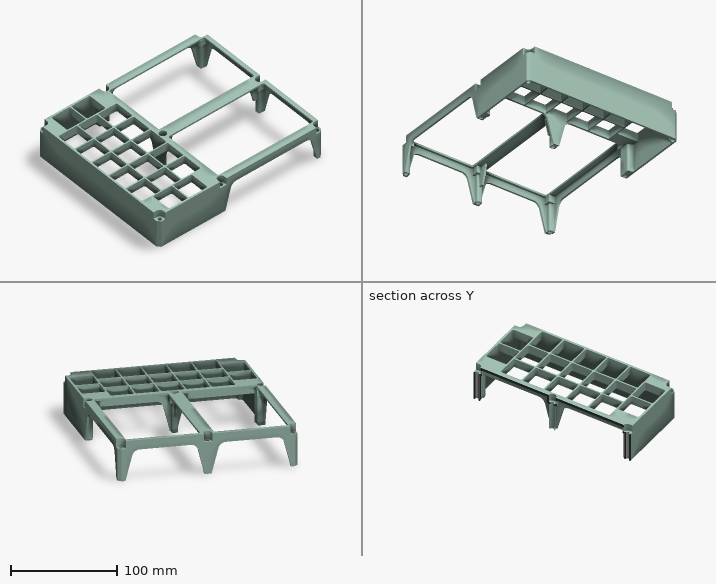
import cadquery as cq
import math

WIDTH = 175.2
LENGTH = 203.2
HEIGHT = 39.8
CORNER_CHAMFER = 3.3

PLATE = 2.0
WALL = 2.0
GRID_DEPTH = 9.5

WINDOW_WIDTH = 72.3
WINDOW_LENGTH = 117.9
WINDOW_X = 42.9
WINDOW_Y = 38.0
WINDOW_RADIUS = 1.5

KEY_SIZE = 23.2
KEY_PITCH = 24.5
KEY_RADIUS = 1.5
KEY_COLUMNS = 5
KEY_ROWS = 3
SIDE_KEY_ROWS = 2
KEYPAD_Y = -63.2

SCREW_X = 84.1
SCREW_Y = 97.3
MIDDLE_SCREW_Y = -21.7
SCREW_HOLE = 4.0
HEAD_DIAMETER = 8.1
HEAD_DEPTH = 8.0
POST_SIZE = 6.0
POST_RADIUS = 2.0
POST_ROOT_RADIUS = 2.2
SIDE_POST_FRONT = -31.7
SIDE_POST_WIDTH = 8.5
PAD_SIZE = 10.5
PAD_ROOT_RADIUS = 1.2

ARCH_ANGLE = 15.0
ARCH_RADIUS = 7.5
SIDE_ARCH_START = -19.0
SIDE_ARCH_END = 94.5
MIDDLE_LEG_WIDTH = 6.5
CORNER_LEG_WIDTH = 7.0
RIB_NOTCH_HEIGHT = 16.9

PLATE_UNDERSIDE = HEIGHT - PLATE
GRID_UNDERSIDE = HEIGHT - GRID_DEPTH
HEAD_SEAT = HEIGHT - HEAD_DEPTH
INNER_X = WIDTH / 2 - WALL
INNER_Y = LENGTH / 2 - WALL
KEYPAD_END = KEYPAD_Y + (KEY_ROWS - 1) / 2 * KEY_PITCH + KEY_SIZE / 2
GRID_END = KEYPAD_END + WALL
SCREWS = [(x, y) for x in (-SCREW_X, 0, SCREW_X) for y in (MIDDLE_SCREW_Y, SCREW_Y)]
SCREWS += [(-SCREW_X, -SCREW_Y), (SCREW_X, -SCREW_Y)]


def block(x_span, y_span, z_span):
    """Box between two coordinates, given in either order, on each axis."""
    low, high = zip(*(sorted(span) for span in (x_span, y_span, z_span)))
    size = [b - a for a, b in zip(low, high)]
    return cq.Workplane("XY").box(*size, centered=False).translate(low)


def rounded_openings(centers, width, length, radius, bottom):
    """Rounded rectangular cutters from a level up to the top face."""
    cutters = cq.Workplane("XY").workplane(offset=bottom).pushPoints(centers)
    return cutters.rect(width, length).extrude(HEIGHT - bottom).edges("|Z").fillet(radius)


def screw_squares(size, z_span):
    """Square columns centred on every screw."""
    columns = cq.Workplane("XY").workplane(offset=z_span[0]).pushPoints(SCREWS)
    return columns.rect(size, size).extrude(z_span[1] - z_span[0])


def screw_cylinders(diameter, bottom):
    """Round cutters on every screw, from a level up to the top face."""
    cutters = cq.Workplane("XY").workplane(offset=bottom).pushPoints(SCREWS)
    return cutters.circle(diameter / 2).extrude(HEIGHT - bottom)


def arch(plane, start, end, height, length):
    """Tapered tunnel, widest at the bottom, reaching both ways from the plane."""
    inset = height * math.tan(math.radians(ARCH_ANGLE))
    outline = [(start, 0), (start + inset, height), (end - inset, height), (end, 0)]
    return cq.Workplane(plane).polyline(outline).close().extrude(length, both=True)


def on_outer_wall(edge):
    """True where an upright edge lies on the inner face of an outer wall."""
    center = edge.Center()
    return math.isclose(abs(center.x), INNER_X) or math.isclose(abs(center.y), INNER_Y)


def cavity(start_y, z_span, columns, root_radius):
    """Space inside the walls, leaving the screw columns and the centre rib."""
    space = block((-INNER_X, INNER_X), (start_y, INNER_Y), z_span).cut(columns)
    space = space.cut(block((-WALL / 2, WALL / 2), (KEYPAD_END, INNER_Y), z_span))
    space = space.cut(block((-WINDOW_X, WINDOW_X), (KEYPAD_END, GRID_END), z_span))
    return space.edges("|Z").filter(on_outer_wall).fillet(root_radius)


envelope = cq.Workplane("XY").rect(WIDTH, LENGTH).extrude(HEIGHT)
envelope = envelope.edges("|Z").chamfer(CORNER_CHAMFER)
lower_span = (0, GRID_UNDERSIDE)
upper_span = (GRID_UNDERSIDE, PLATE_UNDERSIDE)
posts = screw_squares(POST_SIZE, lower_span).edges("|Z").fillet(POST_RADIUS)
side_post = block(
    (SCREW_X - SIDE_POST_WIDTH / 2, WIDTH),
    (SIDE_POST_FRONT, MIDDLE_SCREW_Y + POST_SIZE / 2),
    lower_span,
)
side_post = side_post.edges("|Z").fillet(POST_RADIUS)
posts = posts.union(side_post).union(side_post.mirror("YZ"))
pads = screw_squares(PAD_SIZE, upper_span)
body = envelope.cut(cavity(-INNER_Y, lower_span, posts, POST_ROOT_RADIUS))
body = body.cut(cavity(GRID_END, upper_span, pads, PAD_ROOT_RADIUS))

side_arch = arch("YZ", SIDE_ARCH_START, SIDE_ARCH_END, GRID_UNDERSIDE, WIDTH)
body = body.cut(side_arch.edges("|X and >Z").fillet(ARCH_RADIUS))

back_arch = arch("XZ", MIDDLE_LEG_WIDTH / 2, WIDTH / 2 - CORNER_LEG_WIDTH, GRID_UNDERSIDE, LENGTH)
back_arch = back_arch.edges("|Y and >Z").fillet(ARCH_RADIUS)
back_arch = back_arch.intersect(block((0, WIDTH), (KEYPAD_END, LENGTH), (0, HEIGHT)))
body = body.cut(back_arch).cut(back_arch.mirror("YZ"))

rib_arch = arch("YZ", SIDE_ARCH_START, SIDE_ARCH_END, PLATE_UNDERSIDE, WALL / 2)
rib_notch = block((-WALL / 2, WALL / 2), (SIDE_ARCH_START, SIDE_ARCH_END), (0, RIB_NOTCH_HEIGHT))
body = body.cut(rib_arch).cut(rib_notch)

windows = [(-WINDOW_X, WINDOW_Y), (WINDOW_X, WINDOW_Y)]
body = body.cut(rounded_openings(windows, WINDOW_WIDTH, WINDOW_LENGTH, WINDOW_RADIUS, PLATE_UNDERSIDE))

column_offsets = [column - (KEY_COLUMNS - 1) / 2 for column in range(KEY_COLUMNS)]
row_offsets = [row - (KEY_ROWS - 1) / 2 for row in range(KEY_ROWS)]
side_row_offsets = [row - (SIDE_KEY_ROWS - 1) / 2 for row in range(SIDE_KEY_ROWS)]
side_column_offset = (KEY_COLUMNS + 1) / 2
key_offsets = [(column, row) for column in column_offsets for row in row_offsets]
key_offsets += [(side * side_column_offset, row) for side in (-1, 1) for row in side_row_offsets]
keys = [(column * KEY_PITCH, KEYPAD_Y + row * KEY_PITCH) for column, row in key_offsets]
body = body.cut(rounded_openings(keys, KEY_SIZE, KEY_SIZE, KEY_RADIUS, GRID_UNDERSIDE))

body = body.cut(screw_cylinders(SCREW_HOLE, 0))
body = body.cut(screw_cylinders(HEAD_DIAMETER, HEAD_SEAT))
recess_z = (HEAD_SEAT, HEIGHT)
for x, y in SCREWS:
    across_x = (x - HEAD_DIAMETER / 2, x + HEAD_DIAMETER / 2)
    across_y = (y - HEAD_DIAMETER / 2, y + HEAD_DIAMETER / 2)
    if abs(x) == SCREW_X:
        body = body.cut(block((x, math.copysign(WIDTH, x)), across_y, recess_z))
    if abs(y) == SCREW_Y:
        body = body.cut(block(across_x, (y, math.copysign(LENGTH, y)), recess_z))

result = body